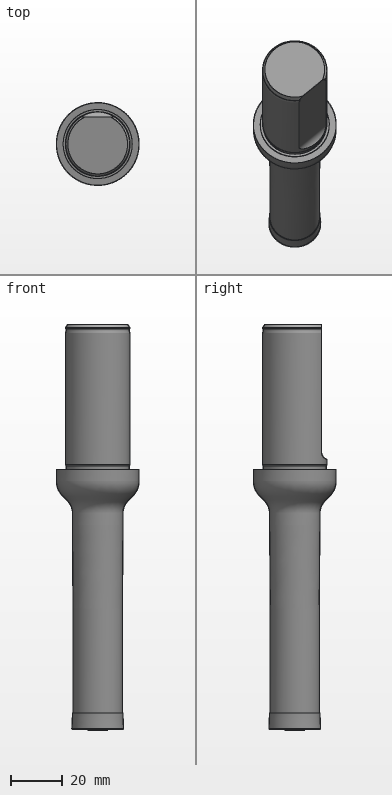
import cadquery as cq
import math

total_height = 157.0
flange_top = 101.0
head_height = 6.9

shank_radius = 25.0 / 2
neck_radius = 24.5 / 2
neck_height = 1.4
bevel_height = 0.5
top_chamfer_width = 1.0
top_chamfer_height = 1.3
groove_top = total_height - 1.9
groove_bottom = total_height - 2.5
groove_run_out = total_height - 3.5

flat_offset = 10.4
flat_bottom = 104.7
flat_run_out_radius = 3.0

flange_radius = 32.0 / 2
flange_rim_bottom = 96.4
shoulder_radius = 8.0
transition_angle = math.radians(45)

upper_stem_radius = 19.6 / 2
lower_stem_radius = 19.2 / 2
transition_bottom = 84.2
taper_top = 79.3
taper_bottom = 47.1

transition_drop = flange_rim_bottom - transition_bottom
transition_width = flange_radius - upper_stem_radius
cone_slope = math.tan(transition_angle)
arc_excess = math.sin(transition_angle) - (1 - math.cos(transition_angle)) * cone_slope
root_radius = (transition_drop - transition_width * cone_slope) / arc_excess - shoulder_radius

relief_radius = 26.7 / 2
relief_depth = 0.3

head_top_radius = 19.6 / 2
lip_radius = 10.0
lip_height = 0.8
lip_bevel = 0.3
tip_radius = 3.8
tip_height = 0.5


def arc_offset(radius, angle):
    """Radial and axial travel along an arc that starts parallel to the axis."""
    return radius * (1 - math.cos(angle)), radius * math.sin(angle)


def make_turned_body():
    """Stem, flange and shank as one revolved profile of (radius, height)."""
    half_angle = transition_angle / 2
    root_mid = arc_offset(root_radius, half_angle)
    root_end = arc_offset(root_radius, transition_angle)
    shoulder_mid = arc_offset(shoulder_radius, half_angle)
    shoulder_end = arc_offset(shoulder_radius, transition_angle)
    profile = (
        cq.Workplane("XZ")
        .moveTo(0, head_height)
        .lineTo(lower_stem_radius, head_height)
        .lineTo(lower_stem_radius, taper_bottom)
        .lineTo(upper_stem_radius, taper_top)
        .lineTo(upper_stem_radius, transition_bottom)
        .threePointArc(
            (upper_stem_radius + root_mid[0], transition_bottom + root_mid[1]),
            (upper_stem_radius + root_end[0], transition_bottom + root_end[1]),
        )
        .lineTo(flange_radius - shoulder_end[0], flange_rim_bottom - shoulder_end[1])
        .threePointArc(
            (flange_radius - shoulder_mid[0], flange_rim_bottom - shoulder_mid[1]),
            (flange_radius, flange_rim_bottom),
        )
        .lineTo(flange_radius, flange_top)
        .lineTo(relief_radius, flange_top)
        .lineTo(relief_radius, flange_top - relief_depth)
        .lineTo(neck_radius, flange_top - relief_depth)
        .lineTo(neck_radius, flange_top + neck_height)
        .lineTo(shank_radius, flange_top + neck_height + bevel_height)
        .lineTo(shank_radius, groove_run_out)
        .lineTo(neck_radius, groove_bottom)
        .lineTo(neck_radius, groove_top)
        .lineTo(shank_radius, groove_top + bevel_height)
        .lineTo(shank_radius, total_height - top_chamfer_height)
        .lineTo(shank_radius - top_chamfer_width, total_height)
        .lineTo(0, total_height)
        .close()
    )
    return profile.revolve(360, (0, 0, 0), (0, 1, 0))


def make_flat_cutter():
    """Block that cuts the shank flat, with a rounded lower inside edge."""
    depth = flange_radius - flat_offset
    return (
        cq.Workplane("XY", origin=(0, flat_offset, flat_bottom))
        .box(2 * flange_radius, depth, total_height - flat_bottom, centered=(True, False, False))
        .edges("<Y and <Z")
        .fillet(flat_run_out_radius)
    )


def make_cutting_head():
    """Head that flares in a curve from the stem to its lip, with a raised tip."""
    flare_height = head_height - lip_height
    flare_width = lip_radius - head_top_radius
    profile = (
        cq.Workplane("XZ")
        .moveTo(0, 0)
        .lineTo(tip_radius, 0)
        .lineTo(tip_radius, tip_height)
        .lineTo(lip_radius - lip_bevel, tip_height)
        .lineTo(lip_radius, lip_height)
        .threePointArc(
            (head_top_radius + flare_width / 3, lip_height + flare_height / 2),
            (head_top_radius, head_height),
        )
        .lineTo(0, head_height)
        .close()
    )
    return profile.revolve(360, (0, 0, 0), (0, 1, 0))


holder = make_turned_body().cut(make_flat_cutter())
cutting_head = make_cutting_head()

result = cq.Compound.makeCompound([holder.val(), cutting_head.val()])